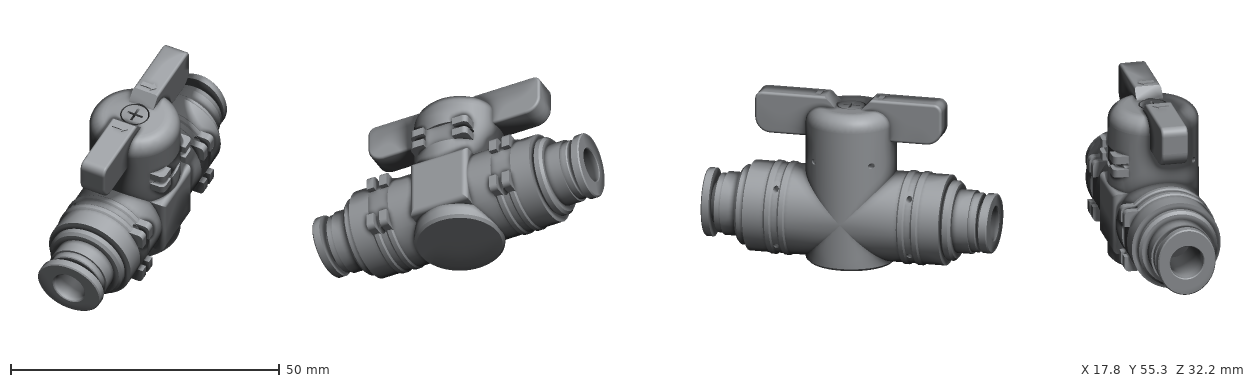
import cadquery as cq


barrel_radius = 8.5
barrel_half_length = 18.85
column_top = 21.0
column_bottom = -8.95
dome_radius = 3.0
column_bottom_chamfer = 0.5

end_flange_radius = 7.5
end_flange_end = 20.85
end_flange_chamfer = 0.5
collar_radius = 6.0
collar_end = 23.85
collar_tip_radius = 5.6
collar_tip_end = 25.2
collar_tip_chamfer = 0.15
neck_radius = 3.75
release_start = 26.1
release_end = 27.65
release_long_radius = 6.5
release_short_radius = 5.55
release_chamfer = 0.2
tube_radius = 3.2
tube_depth = 11.05
tube_chamfer = 0.15

ridge_width = 1.5
ridge_pitch = 2.65
ridge_height = 0.3
ridge_slope = 0.35
barrel_pair_place = 12.85
column_pair_place = 11.45
lug_face = 9.0
lug_half_span = 6.0
lug_slot_half = 3.0
lug_slot_floor = 7.95
lug_rounding = 1.0
pin_hole_diameter = 1.05
pin_hole_offset = 5.55
barrel_pin_hole_floor = 3.3

handle_width = 5.1
handle_half_length = 18.0
handle_top = 23.0
handle_bottom = 15.1
handle_foot = 2.55
handle_top_rounding = 1.5
handle_bottom_rounding = 3.0
handle_edge_rounding = 0.5
arrow_place = 6.05
arrow_half_length = 1.55
arrow_head_length = 1.0
arrow_head_half_width = 1.0
arrow_shaft_half_width = 0.5
arrow_height = 0.2

screw_radius = 2.5
screw_height = 2.75
screw_hole_radius = 2.75
recess_half_length = 1.65
recess_width = 0.5


def ring_about_y(radius, start, end):
    """Solid disc on the Y axis between two places along Y."""
    return cq.Workplane("XZ", origin=(0, start, 0)).circle(radius).extrude(start - end)


def centred_block(x_start, x_end, y_middle, y_size, z_middle, z_size):
    """Block given by its ends along X and by its middles along Y and Z."""
    block = cq.Workplane("XY").box(x_end - x_start, y_size, z_size)
    return block.translate(((x_start + x_end) / 2, y_middle, z_middle))


def make_core():
    """Barrel crossed by the domed stem column."""
    barrel = ring_about_y(barrel_radius, -barrel_half_length, barrel_half_length)
    column = (
        cq.Workplane("XY", origin=(0, 0, column_bottom))
        .circle(barrel_radius)
        .extrude(column_top - column_bottom)
        .faces("<Z")
        .chamfer(column_bottom_chamfer)
        .faces(">Z")
        .edges()
        .fillet(dome_radius)
    )
    return barrel.union(column)


def make_fitting():
    """Push-in fitting on the -Y end, its release ring longest along X."""
    end_flange = ring_about_y(end_flange_radius, -end_flange_end, -barrel_half_length)
    end_flange = end_flange.faces("<Y or >Y").edges().chamfer(end_flange_chamfer)
    collar = ring_about_y(collar_radius, -collar_end, -barrel_half_length)
    collar_tip = ring_about_y(collar_tip_radius, -collar_tip_end, -collar_end)
    collar_tip = collar_tip.faces("<Y").chamfer(collar_tip_chamfer)
    neck = ring_about_y(neck_radius, -release_start, -collar_tip_end)
    release_ring = (
        cq.Workplane("XZ", origin=(0, -release_start, 0))
        .ellipse(release_long_radius, release_short_radius)
        .extrude(release_end - release_start)
        .faces("<Y")
        .chamfer(release_chamfer)
    )
    tube_hole = ring_about_y(tube_radius, -release_end, tube_depth - release_end)
    fitting = end_flange.union(collar).union(collar_tip).union(neck).union(release_ring)
    fitting = fitting.cut(tube_hole)
    return fitting.faces("<Y").edges("%CIRCLE").chamfer(tube_chamfer), tube_hole


def make_ridge(place):
    """Ridge with sloped flanks around the barrel, left open where the lugs stand."""
    half_base = ridge_width / 2
    half_crest = half_base - ridge_slope
    ridge = (
        cq.Workplane("XY")
        .moveTo(0, place - half_base)
        .lineTo(barrel_radius, place - half_base)
        .lineTo(barrel_radius + ridge_height, place - half_crest)
        .lineTo(barrel_radius + ridge_height, place + half_crest)
        .lineTo(barrel_radius, place + half_base)
        .lineTo(0, place + half_base)
        .close()
        .revolve(360, (0, 0, 0), (0, 1, 0))
    )
    lug_opening = centred_block(0, 2 * barrel_radius, place, 2 * ridge_width, 0, 2 * lug_half_span)
    return ridge.cut(lug_opening)


def make_lug_pair(place):
    """Two rounded lugs side by side across the barrel."""
    lug = centred_block(0, lug_face, place, ridge_width, 0, 2 * lug_half_span)
    lug = lug.edges("|Y and >X").fillet(lug_rounding)
    half_step = ridge_pitch / 2
    return lug.translate((0, -half_step, 0)).union(lug.translate((0, half_step, 0)))


def make_lug_slot(place):
    """Slot that parts both lugs of a pair in the middle and flattens the barrel between them."""
    pair_width = ridge_pitch + ridge_width
    return centred_block(lug_slot_floor, 2 * lug_face, place, pair_width, 0, 2 * lug_slot_half)


def make_mounting_plate():
    """Rounded square plate on the +X side where barrel and column cross."""
    plate = centred_block(0, lug_face, 0, 2 * lug_half_span, 0, 2 * lug_half_span)
    return plate.edges("(|Y or |Z) and >X").fillet(lug_rounding)


def make_pin_hole(x_start, y_place, z_place):
    """Bore parallel to X, from the given start to beyond the +X side of the body."""
    hole = cq.Workplane("YZ", origin=(x_start, y_place, z_place))
    return hole.circle(pin_hole_diameter / 2).extrude(2 * barrel_radius - x_start)


def make_handle_wing():
    """Wing of the handle on the +Y side; its sloped foot meets the top of the column."""
    slope_run = handle_top - column_top
    wing = (
        cq.Workplane("YZ", origin=(-handle_width / 2, 0, 0))
        .moveTo(0, handle_bottom)
        .lineTo(handle_half_length, handle_bottom)
        .lineTo(handle_half_length, handle_top)
        .lineTo(0, handle_top)
        .close()
        .extrude(handle_width)
    )
    wing = wing.edges("|X and >Y and >Z").fillet(handle_top_rounding)
    wing = wing.edges("|X and <Z and >Y").fillet(handle_bottom_rounding)
    wing = wing.faces("<X or >X").edges("not <Y").fillet(handle_edge_rounding)
    foot_cut = (
        cq.Workplane("YZ", origin=(-handle_width, 0, 0))
        .moveTo(-handle_foot, column_top)
        .lineTo(handle_foot, column_top)
        .lineTo(handle_foot + 2 * slope_run, column_top + 2 * slope_run)
        .lineTo(-handle_foot, column_top + 2 * slope_run)
        .close()
        .extrude(2 * handle_width)
    )
    return wing.cut(foot_cut)


def make_arrow(y_place):
    """Raised arrow on the handle, pointing along +X."""
    neck_x = arrow_half_length - arrow_head_length
    return (
        cq.Workplane("XY", origin=(0, y_place, handle_top))
        .moveTo(-arrow_half_length, -arrow_shaft_half_width)
        .lineTo(neck_x, -arrow_shaft_half_width)
        .lineTo(neck_x, -arrow_head_half_width)
        .lineTo(arrow_half_length, 0)
        .lineTo(neck_x, arrow_head_half_width)
        .lineTo(neck_x, arrow_shaft_half_width)
        .lineTo(-arrow_half_length, arrow_shaft_half_width)
        .close()
        .extrude(arrow_height)
    )


def make_screw_hole():
    """Counterbore for the screw, wider than the screw all around and open upwards."""
    hole = cq.Workplane("XY", origin=(0, 0, column_top - screw_height))
    return hole.circle(screw_hole_radius).extrude(2 * screw_height)


def make_body():
    """Valve body with its fittings, mounting lugs and handle."""
    body = make_core().union(make_mounting_plate())

    for side in (-1, 1):
        pair_place = side * barrel_pair_place
        for step in (-ridge_pitch / 2, ridge_pitch / 2):
            body = body.union(make_ridge(pair_place + step))
        body = body.union(make_lug_pair(pair_place)).cut(make_lug_slot(pair_place))

    upright = ((0, 0, 0), (1, 0, 0), 90)
    body = body.union(make_lug_pair(column_pair_place).rotate(*upright))
    body = body.cut(make_lug_slot(column_pair_place).rotate(*upright))

    fitting, tube_hole = make_fitting()
    half_turn = ((0, 0, 0), (0, 0, 1), 180)
    quarter_turn = ((0, 0, 0), (0, 1, 0), 90)
    body = body.union(fitting).union(fitting.rotate(*half_turn).rotate(*quarter_turn))
    body = body.cut(tube_hole).cut(tube_hole.rotate(*half_turn))

    wing = make_handle_wing()
    body = body.union(wing).union(wing.mirror("XZ"))
    for side in (-1, 1):
        body = body.union(make_arrow(side * arrow_place))

    for offset in (-pin_hole_offset, pin_hole_offset):
        body = body.cut(make_pin_hole(-2 * barrel_radius, offset, column_pair_place))
        for side in (-1, 1):
            blind_hole = make_pin_hole(barrel_pin_hole_floor, side * barrel_pair_place, offset)
            body = body.cut(blind_hole).cut(blind_hole.mirror("YZ"))

    return body.cut(make_screw_hole())


def make_screw():
    """Screw flush with the column top, with a cross recess deepening to a point."""
    screw = cq.Workplane("XY", origin=(0, 0, column_top - screw_height))
    screw = screw.circle(screw_radius).extrude(screw_height)
    recess_arm = (
        cq.Workplane("XZ", origin=(0, recess_width / 2, column_top))
        .moveTo(-recess_half_length, 0)
        .lineTo(0, -recess_half_length)
        .lineTo(recess_half_length, 0)
        .close()
        .extrude(recess_width)
    )
    return screw.cut(recess_arm).cut(recess_arm.rotate((0, 0, 0), (0, 0, 1), 90))


body = make_body()
screw = make_screw()

result = cq.Compound.makeCompound([body.val(), screw.val()])